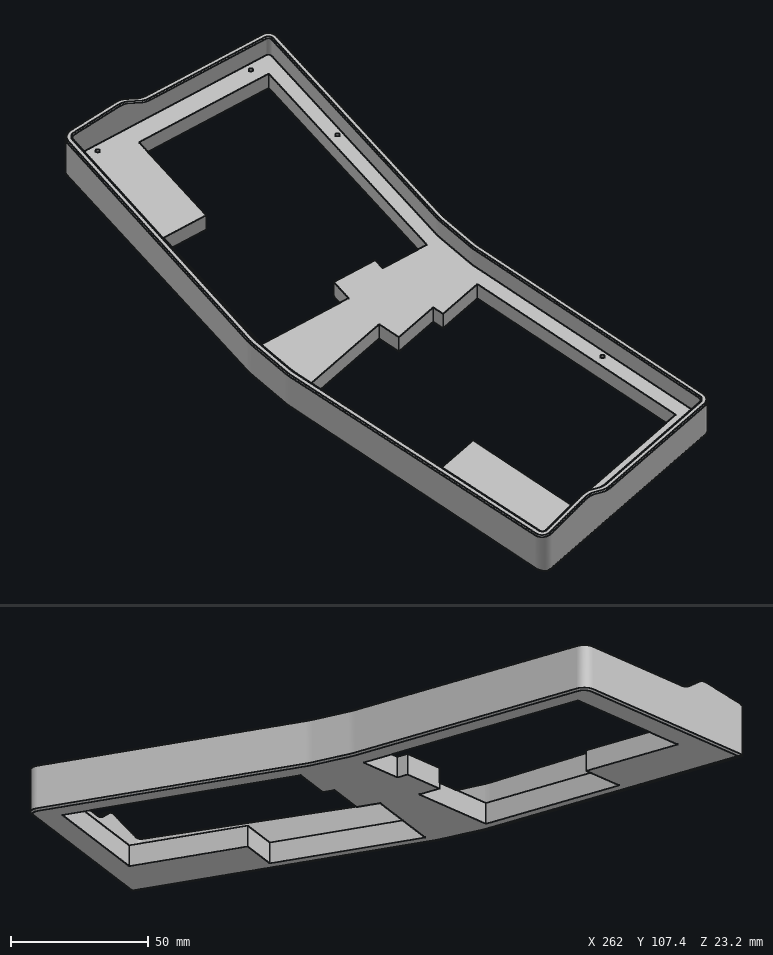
import cadquery as cq
import math

wing_angle = 7.0
overall_length = 262.0
wing_length_difference = 4.0
wing_depth = 93.5
front_half_width = 10.5
back_half_width = 9.2
front_y = -53.7
corner_radius = 4.2
bend_radius = 19.5

floor_height = 8.0
back_height = 17.8
front_height = 18.5

hump_foot_y = -3.7
hump_angle = 31.0
front_slope_angle = 7.0
foot_radius = 7.9
peak_radius = 7.9

wall = 2.5
rim_chamfer = 0.5
base_chamfer = 0.8
front_bevel_height = 1.5
front_bevel_depth = 4.5

key_rows = 4
steps_per_key = 4
key_field_depth = 76.2
key_field_front = 8.6
key_end_inset = 10.7
key_clearance = 0.3
left_rows = [(9, 22), (0, 22), (0, 20), (0, 21)]
right_rows = [(10, 23), (0, 23), (0, 21), (0, 20)]

hole_diameter = 1.62
hole_depth = 5.2
hole_edge_inset = 4.7
hole_end_inset = 5.2
hole_wing_spacing = 43.8
hole_end_spacing = 68.0

reach = 2 * overall_length
cos_wing = math.cos(math.radians(wing_angle))
sin_wing = math.sin(math.radians(wing_angle))
tan_wing = math.tan(math.radians(wing_angle))
tan_hump = math.tan(math.radians(hump_angle))
tan_slope = math.tan(math.radians(front_slope_angle))

corner_loss = corner_radius * (cos_wing + sin_wing - 1)
mean_wing_length = (overall_length / 2 - front_half_width + corner_loss) / cos_wing
wing_lengths = {side: mean_wing_length + side * wing_length_difference / 2 for side in (-1, 1)}


def wing_point(along, inward, side=1):
    """Point along a wing and inward from its front edge; side 1 is +X, -1 is -X."""
    x = front_half_width + along * cos_wing - inward * sin_wing
    y = front_y + along * sin_wing + inward * cos_wing
    return side * x, y


def half_outline(side):
    """Sharp corners of one half: front bend, front corner, back corner, back bend."""
    length = wing_lengths[side]
    back_x, back_y = wing_point(length, wing_depth)
    bend_y = back_y - (back_x - back_half_width) * tan_wing
    return [
        (side * front_half_width, front_y),
        wing_point(length, 0, side),
        wing_point(length, wing_depth, side),
        (side * back_half_width, bend_y),
    ]


def make_blank(height):
    """Solid plan shape with rounded corners and bends."""
    right = half_outline(1)
    left = half_outline(-1)
    blank = cq.Workplane("XY").polyline(right + left[::-1]).close().extrude(height)
    radii = (bend_radius, corner_radius, corner_radius, bend_radius)
    for half in (right, left):
        for (x, y), radius in zip(half, radii):
            edge = cq.selectors.NearestToPointSelector((x, y, height / 2))
            blank = blank.edges(edge).fillet(radius)
    return blank


def make_rim_profile():
    """Everything below the rim, as a side profile carried along X."""
    peak_rise = front_height - back_height
    peak_run = (peak_rise + (hump_foot_y - front_y) * tan_slope) / (tan_hump + tan_slope)
    peak_y = hump_foot_y - peak_run
    peak_z = back_height + peak_run * tan_hump
    end_z = front_height - (reach + front_y) * tan_slope
    points = [
        (reach, -reach),
        (reach, back_height),
        (hump_foot_y, back_height),
        (peak_y, peak_z),
        (-reach, end_z),
        (-reach, -reach),
    ]
    profile = cq.Workplane("YZ").polyline(points).close().extrude(reach, both=True)
    for y, z, radius in ((hump_foot_y, back_height, foot_radius), (peak_y, peak_z, peak_radius)):
        profile = profile.edges(cq.selectors.NearestToPointSelector((0, y, z))).fillet(radius)
    return profile


def break_rim(tray):
    """Chamfer the inner and outer edges of the rim."""
    min_upward = 0.5
    above_floor = (floor_height + back_height) / 2
    rim_faces = [
        face for face in tray.faces().vals()
        if face.normalAt().z > min_upward and face.Center().z > above_floor
    ]
    return tray.newObject(rim_faces).edges("not |X").chamfer(rim_chamfer)


def make_tray():
    """Tray with a thin wall, its rim following the side profile."""
    blank = make_blank(2 * back_height)
    outline = blank.faces("<Z").wires().val()
    cavity_outline = outline.offset2D(-wall)[0].translate(cq.Vector(0, 0, floor_height))
    cavity = cq.Workplane("XY").add(cavity_outline).toPending().extrude(reach)
    tray = blank.faces("<Z").chamfer(base_chamfer).cut(cavity).intersect(make_rim_profile())
    return break_rim(tray)


def make_front_bevel(x, y, angle):
    """Wedge that bevels the underside along the front edge through (x, y)."""
    section = [
        (-reach, 0),
        (front_bevel_depth, 0),
        (0, front_bevel_height),
        (-reach, front_bevel_height),
    ]
    wedge = cq.Workplane("YZ").polyline(section).close().extrude(reach, both=True)
    return wedge.rotate((0, 0, 0), (0, 0, 1), angle).translate((x, y, 0))


def make_opening(rows, side):
    """Stepped key opening of one wing, cut through the floor."""
    key_pitch = key_field_depth / key_rows
    key_step = key_pitch / steps_per_key
    field_end = wing_lengths[side] - key_end_inset
    opening = cq.Workplane("XY")
    for index, (outer_step, inner_step) in enumerate(rows):
        end = field_end - outer_step * key_step + key_clearance
        start = field_end - inner_step * key_step - key_clearance
        near = key_field_front + index * key_pitch - key_clearance
        far = near + key_pitch + 2 * key_clearance
        corners = [(start, near), (end, near), (end, far), (start, far)]
        points = [wing_point(along, inward, side) for along, inward in corners]
        opening = opening.union(cq.Workplane("XY").polyline(points).close().extrude(floor_height))
    return opening


def hole_points(side):
    """Screw positions of one wing: two near its end and one by each long edge."""
    end = wing_lengths[side] - hole_end_inset
    middle_hole = end - hole_wing_spacing
    middle = wing_depth / 2
    return [
        wing_point(end, middle - hole_end_spacing / 2, side),
        wing_point(end, middle + hole_end_spacing / 2, side),
        wing_point(middle_hole, hole_edge_inset, side),
        wing_point(middle_hole, wing_depth - hole_edge_inset, side),
    ]


result = make_tray()

result = result.cut(make_front_bevel(0, front_y, 0))
for side in (-1, 1):
    result = result.cut(make_front_bevel(side * front_half_width, front_y, side * wing_angle))

for rows, side in ((left_rows, -1), (right_rows, 1)):
    result = result.cut(make_opening(rows, side))
    holes = cq.Workplane("XY").workplane(offset=floor_height).pushPoints(hole_points(side))
    result = result.cut(holes.circle(hole_diameter / 2).extrude(-hole_depth))